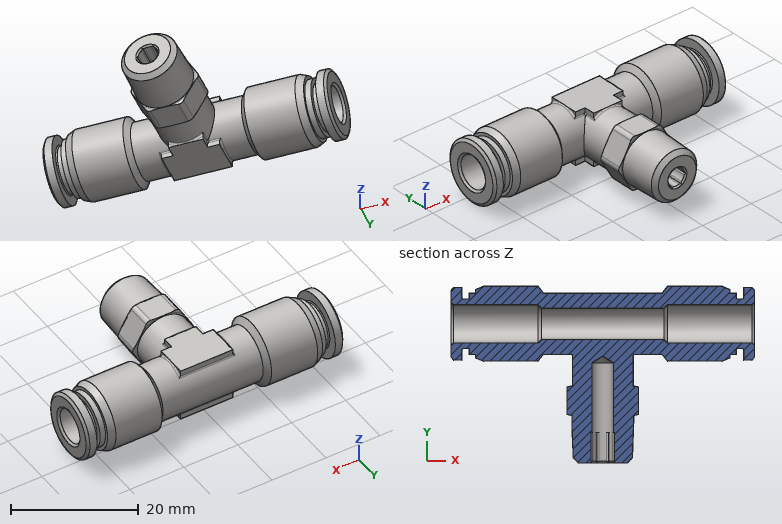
import cadquery as cq
import math

half_length = 23.8
tube_radius = 4.8
body_radius = 5.9
body_inner_end = 10.15
shoulder_length = 0.85
body_outer_end = 19.95
body_chamfer_length = 1.25
body_chamfer_depth = 0.5
collar_end = 20.95
neck_radius = 3.9
flange_radius = 5.7
flange_thickness = 1.7
flange_chamfer_length = 0.4
flange_chamfer_depth = 0.5
neck_root_chamfer = 0.2

tube_bore_radius = 3.0
through_bore_radius = 2.45
bore_mouth_chamfer = 0.4
bore_step = tube_bore_radius - through_bore_radius
tube_stop = body_inner_end

branch_radius = tube_radius
branch_length = 21.8
hex_start = 9.75
hex_end = 14.35
hex_across_flats = 10.0
hex_corner_fillet = 1.0
hex_end_radius = 5.15
hex_chamfer_length = 0.15
hex_chamfer_depth = 0.5
thread_root_radius = 4.9
thread_tip_radius = 4.65
thread_tip_chamfer = 0.8

drill_radius = 1.65
drill_depth = 15.7
drill_point_angle = 118.0
socket_across_flats = 3.15
socket_depth = 4.75
socket_mouth_radius = 1.95
socket_mouth_chamfer = 0.35

pad_half_width = 4.85
pad_back = 2.95
pad_shoulder = 2.8
stem_half_width = 2.9
stem_end = 4.9
pad_height = 4.95
pad_foot_fillet = 0.35
pad_foot_lowest = 3.35
selection_margin = 0.05


def revolve_about_x(points):
    return cq.Workplane("XY").polyline(points).close().revolve(360, (0, 0, 0), (1, 0, 0))


def revolve_about_y(points):
    return cq.Workplane("XY").polyline(points).close().revolve(360, (0, 0, 0), (0, 1, 0))


def hexagon(across_flats, start, end):
    """Hexagonal prism along -Y with two flats facing up and down."""
    across_corners = across_flats / math.cos(math.pi / 6)
    return (
        cq.Workplane("XZ", origin=(0, -start, 0))
        .polygon(6, across_corners)
        .extrude(end - start)
    )


def make_run():
    flange_inner = half_length - flange_thickness
    half = revolve_about_x([
        (0, 0),
        (0, tube_radius),
        (body_inner_end - shoulder_length, tube_radius),
        (body_inner_end, body_radius),
        (body_outer_end - body_chamfer_length, body_radius),
        (body_outer_end, body_radius - body_chamfer_depth),
        (body_outer_end, tube_radius),
        (collar_end, tube_radius),
        (collar_end, neck_radius),
        (flange_inner - neck_root_chamfer, neck_radius),
        (flange_inner, neck_radius + neck_root_chamfer),
        (flange_inner, flange_radius),
        (half_length - flange_chamfer_length, flange_radius),
        (half_length, flange_radius - flange_chamfer_depth),
        (half_length, 0),
    ])
    return half.union(half.mirror("YZ"))


def make_run_bore():
    half = revolve_about_x([
        (0, 0),
        (0, through_bore_radius),
        (tube_stop - bore_step, through_bore_radius),
        (tube_stop, tube_bore_radius),
        (half_length - bore_mouth_chamfer, tube_bore_radius),
        (half_length, tube_bore_radius + bore_mouth_chamfer),
        (half_length, 0),
    ])
    return half.union(half.mirror("YZ"))


def make_branch():
    return revolve_about_y([
        (0, 0),
        (branch_radius, 0),
        (branch_radius, -hex_end),
        (thread_root_radius, -hex_end),
        (thread_tip_radius, -branch_length + thread_tip_chamfer),
        (thread_tip_radius - thread_tip_chamfer, -branch_length),
        (0, -branch_length),
    ])


def make_nut():
    prism = hexagon(hex_across_flats, hex_start, hex_end).edges("|Y").fillet(hex_corner_fillet)
    rim_radius = hex_end_radius + hex_chamfer_depth
    envelope = revolve_about_y([
        (0, -hex_start),
        (hex_end_radius, -hex_start),
        (rim_radius, -hex_start - hex_chamfer_length),
        (rim_radius, -hex_end + hex_chamfer_length),
        (hex_end_radius, -hex_end),
        (0, -hex_end),
    ])
    return prism.intersect(envelope)


def make_branch_hole():
    floor = -branch_length + drill_depth
    point_length = drill_radius / math.tan(math.radians(drill_point_angle / 2))
    drill = revolve_about_y([
        (0, floor + point_length),
        (drill_radius, floor),
        (drill_radius, -branch_length),
        (0, -branch_length),
    ])
    mouth = revolve_about_y([
        (0, -branch_length),
        (socket_mouth_radius, -branch_length),
        (socket_mouth_radius - socket_mouth_chamfer, -branch_length + socket_mouth_chamfer),
        (0, -branch_length + socket_mouth_chamfer),
    ])
    socket = hexagon(socket_across_flats, branch_length - socket_depth, branch_length)
    return drill.union(socket).union(mouth)


def make_pads():
    """One T-shaped prism, as tall as both pads, crossing the whole tee."""
    outline = [
        (-pad_half_width, pad_back),
        (pad_half_width, pad_back),
        (pad_half_width, -pad_shoulder),
        (stem_half_width, -pad_shoulder),
        (stem_half_width, -stem_end),
        (-stem_half_width, -stem_end),
        (-stem_half_width, -pad_shoulder),
        (-pad_half_width, -pad_shoulder),
    ]
    return cq.Workplane("XY").polyline(outline).close().extrude(pad_height, both=True)


def fillet_pad_feet(tee):
    """Blend the pad walls into the tubes along the edges where they meet."""
    reach_x = pad_half_width + selection_margin
    reach_front = -stem_end - selection_margin
    reach_back = pad_back + selection_margin
    reach_z = pad_height - selection_margin
    upper = cq.selectors.BoxSelector(
        (-reach_x, reach_front, pad_foot_lowest), (reach_x, reach_back, reach_z), boundingbox=True
    )
    lower = cq.selectors.BoxSelector(
        (-reach_x, reach_front, -reach_z), (reach_x, reach_back, -pad_foot_lowest), boundingbox=True
    )
    return tee.edges(upper + lower).fillet(pad_foot_fillet)


tee = fillet_pad_feet(make_run().union(make_branch()).union(make_pads()))
result = tee.union(make_nut()).cut(make_run_bore()).cut(make_branch_hole())